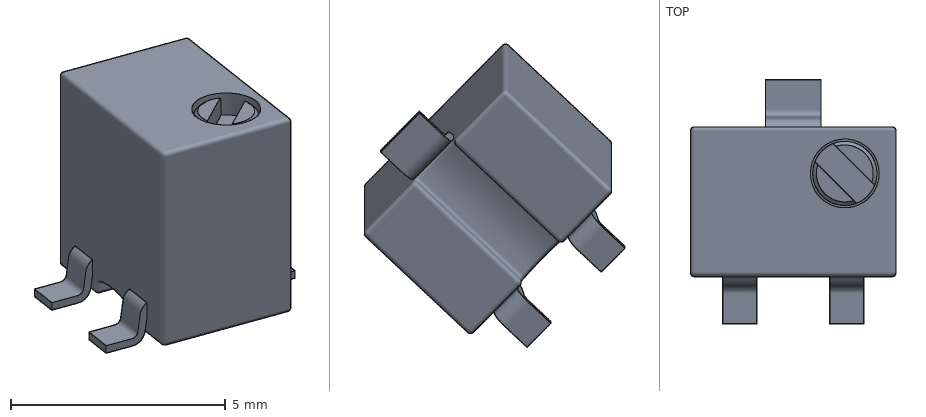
import cadquery as cq
import math

HOUSING_X = 4.8
HOUSING_Y = 3.5
OVERALL_Y = 5.7
OVERALL_Z = 5.3
LEAD_THICKNESS = 0.2
STANDOFF = LEAD_THICKNESS
EDGE_RADIUS = 0.1

CHANNEL_WIDTH = 1.28
CHANNEL_SIDE_HEIGHT = 0.34
CHANNEL_CROWN_HEIGHT = 0.445
CHANNEL_CORNER_RADIUS = 0.1

SCREW_X = 1.2
SCREW_Y = 0.66
POCKET_DIAMETER = 1.6
SCREW_DIAMETER = 1.5
SCREW_HEIGHT = 1.0
SCREW_RECESS = 0.05
SCREW_CHAMFER = 0.085
SLOT_WIDTH = 0.6
SLOT_DEPTH = 0.5
SLOT_ANGLE = -45.0
POCKET_DEPTH = SCREW_HEIGHT + SCREW_RECESS

NARROW_LEAD_WIDTH = 0.8
NARROW_LEAD_OFFSET = 1.25
WIDE_LEAD_WIDTH = 1.3
LEAD_REACH = (OVERALL_Y - HOUSING_Y) / 2
LEAD_TILT = math.radians(8)
BEND_INNER_RADIUS = 0.155
BEND_OUTER_RADIUS = BEND_INNER_RADIUS + LEAD_THICKNESS
UPPER_BEND_HEIGHT = 0.73
UPPER_BEND_DEPTH = 0.17


def make_channel():
    """Cutter for the arched channel, running the full depth of the housing."""
    half_width = CHANNEL_WIDTH / 2
    shoulder = STANDOFF + CHANNEL_SIDE_HEIGHT
    crown = STANDOFF + CHANNEL_CROWN_HEIGHT
    return (
        cq.Workplane("XZ")
        .moveTo(-half_width, 0)
        .lineTo(-half_width, shoulder)
        .threePointArc((0, crown), (half_width, shoulder))
        .lineTo(half_width, 0)
        .close()
        .extrude(HOUSING_Y, both=True)
        .edges("|Y and (not <Z)")
        .fillet(CHANNEL_CORNER_RADIUS)
    )


def make_housing():
    """Block with an arched channel, all outer edges rounded, and a screw pocket."""
    block = cq.Workplane("XY").box(
        HOUSING_X, HOUSING_Y, OVERALL_Z - STANDOFF, centered=(True, True, False)
    )
    block = block.translate((0, 0, STANDOFF)).cut(make_channel())
    outer_edges = block.faces("<X or >X or <Y or >Y or <Z or >Z").edges()
    pocket = (
        cq.Workplane("XY", origin=(SCREW_X, SCREW_Y, OVERALL_Z - POCKET_DEPTH))
        .circle(POCKET_DIAMETER / 2)
        .extrude(POCKET_DEPTH)
    )
    return outer_edges.fillet(EDGE_RADIUS).cut(pocket)


def make_screw():
    """Slotted screw with a chamfered top rim, standing on the pocket floor."""
    screw = (
        cq.Workplane("XY")
        .circle(SCREW_DIAMETER / 2)
        .extrude(SCREW_HEIGHT)
        .faces(">Z")
        .edges()
        .chamfer(SCREW_CHAMFER)
    )
    slot = (
        cq.Workplane("XY", origin=(0, 0, SCREW_HEIGHT - SLOT_DEPTH))
        .transformed(rotate=(0, 0, SLOT_ANGLE))
        .rect(2 * SCREW_DIAMETER, SLOT_WIDTH)
        .extrude(SLOT_DEPTH)
    )
    return screw.cut(slot).translate((SCREW_X, SCREW_Y, OVERALL_Z - POCKET_DEPTH))


def point_on_circle(centre, radius, angle):
    """Point at an angle (radians) on a circle."""
    return (centre[0] + radius * math.cos(angle), centre[1] + radius * math.sin(angle))


def make_lead(width):
    """Gull-wing lead reaching along +Y, with Y = 0 on the housing wall."""
    upper = (-UPPER_BEND_DEPTH, UPPER_BEND_HEIGHT)
    lower_height = BEND_OUTER_RADIUS
    centre_gap = BEND_INNER_RADIUS + BEND_OUTER_RADIUS
    drop = upper[1] - lower_height
    lower = (upper[0] + (centre_gap + drop * math.sin(LEAD_TILT)) / math.cos(LEAD_TILT), lower_height)

    wall_angle = math.acos(UPPER_BEND_DEPTH / BEND_OUTER_RADIUS)
    strip_angle = math.pi + LEAD_TILT
    foot_angle = 1.5 * math.pi
    upper_mid = (wall_angle + LEAD_TILT) / 2
    lower_mid = (strip_angle + foot_angle) / 2

    strip_bottom = point_on_circle(lower, BEND_OUTER_RADIUS, strip_angle)
    wall_meeting = (0, strip_bottom[1] + strip_bottom[0] / math.tan(LEAD_TILT))
    profile = (
        cq.Workplane("YZ")
        .moveTo(*wall_meeting)
        .lineTo(*point_on_circle(upper, BEND_OUTER_RADIUS, wall_angle))
        .threePointArc(
            point_on_circle(upper, BEND_OUTER_RADIUS, upper_mid),
            point_on_circle(upper, BEND_OUTER_RADIUS, LEAD_TILT),
        )
        .lineTo(*point_on_circle(lower, BEND_INNER_RADIUS, strip_angle))
        .threePointArc(
            point_on_circle(lower, BEND_INNER_RADIUS, lower_mid),
            (lower[0], LEAD_THICKNESS),
        )
        .lineTo(LEAD_REACH, LEAD_THICKNESS)
        .lineTo(LEAD_REACH, 0)
        .lineTo(lower[0], 0)
        .threePointArc(point_on_circle(lower, BEND_OUTER_RADIUS, lower_mid), strip_bottom)
        .close()
    )
    return profile.extrude(width / 2, both=True).translate((0, HOUSING_Y / 2, 0))


def make_front_leads():
    """Pair of narrow leads on the -Y wall."""
    leads = []
    for x in (-NARROW_LEAD_OFFSET, NARROW_LEAD_OFFSET):
        lead = make_lead(NARROW_LEAD_WIDTH).rotate((0, 0, 0), (0, 0, 1), 180)
        leads.append(lead.translate((x, 0, 0)))
    return leads


housing = make_housing()
screw = make_screw()
rear_lead = make_lead(WIDE_LEAD_WIDTH)
front_leads = make_front_leads()

result = cq.Compound.makeCompound(
    [housing.val(), screw.val(), rear_lead.val(), *[lead.val() for lead in front_leads]]
)